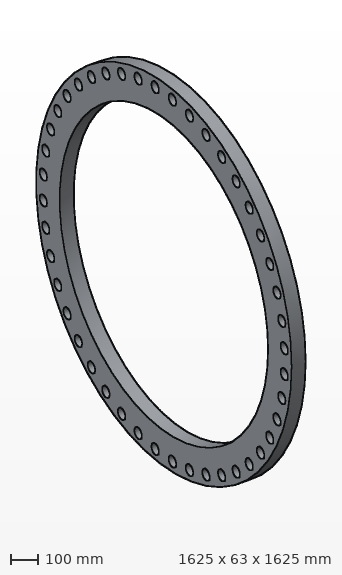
import cadquery as cq

outer_diameter = 1625.0
bore_diameter = 1325.0
thickness = 63.0

bolt_count = 44
bolt_hole_diameter = 47.0
bolt_circle_diameter = 1536.0
bolt_pitch_angle = 360.0 / bolt_count


def make_ring():
    """Flat ring centred on the origin."""
    return (
        cq.Workplane("XZ", origin=(0, thickness / 2, 0))
        .circle(outer_diameter / 2)
        .circle(bore_diameter / 2)
        .extrude(thickness)
    )


def make_bolt_holes():
    """Cutters for the circle of through holes."""
    return (
        cq.Workplane("XZ", origin=(0, thickness / 2, 0))
        .polarArray(bolt_circle_diameter / 2, bolt_pitch_angle / 2, 360, bolt_count)
        .circle(bolt_hole_diameter / 2)
        .extrude(thickness)
    )


result = make_ring().cut(make_bolt_holes())